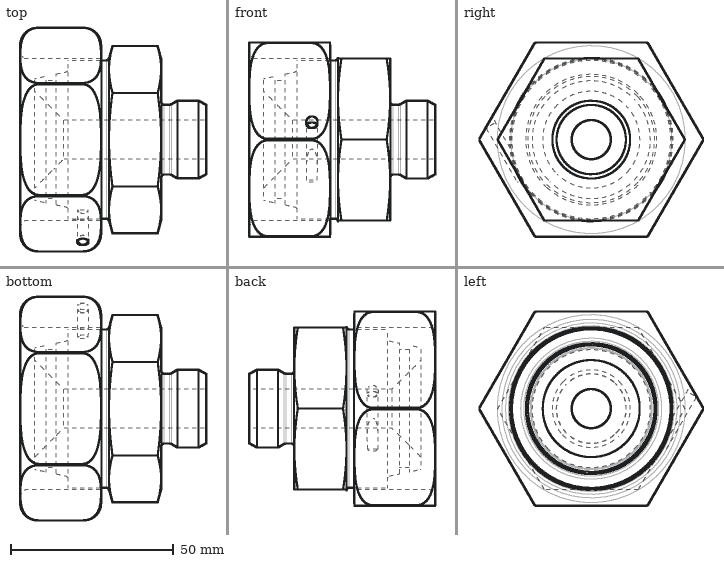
import cadquery as cq
import math


nut_length = 25.05
nut_flats = 60.0
nut_corner_radius = 34.5
nut_edge_round = 5.5
nut_bore_radius = 25.01
lip_radius = 27.5
lip_round = 2.2
throat_round = 1.1
lead_in_angle = math.radians(60)

wire_hole_diameter = 3.3
wire_hole_mouth_diameter = 3.5
wire_hole_mouth_depth = 1.1
wire_hole_x = 19.4
wire_hole_height = 5.4
wire_hole_slope = 60.0

cone_face_x = 4.5
cone_face_radius = 18.8
cone_angle = math.radians(12)
cone_edge_round = 0.35
mouth_radius = 15.0
bore_radius = 6.0
groove_start = 8.0
groove_end = 11.1
groove_depth = 1.3
shoulder_x = 14.85
shoulder_round = 1.0
collar_radius = 24.46

hex_start = 27.4
hex_end = 43.55
hex_flats = 50.0
hex_chamfer_radius = 24.85
hex_chamfer_depth = 1.1
collar_round = 0.75

stud_end = 57.5
stud_radius = 12.0
stud_chamfer_length = 2.4
stud_tip_radius = 10.7
neck_radius = 10.8
neck_start_round = 0.9
neck_end_round = 1.3
relief_angle = math.radians(30)
stud_shoulder_x = 48.5


def hex_bar(flats, start, end):
    """Hexagonal bar along X with two flats parallel to the XY plane."""
    corner_diameter = flats / math.cos(math.pi / 6)
    return cq.Workplane("YZ", origin=(start, 0, 0)).polygon(6, corner_diameter).extrude(end - start)


def revolve_about_x(profile):
    """Turn a closed profile drawn as (x, radius) about the X axis."""
    return profile.close().revolve(360, (0, 0, 0), (1, 0, 0))


def make_nut():
    face_radius = nut_corner_radius - nut_edge_round
    diagonal = nut_edge_round * math.sqrt(0.5)
    arc_mid_radius = face_radius + diagonal
    arc_mid_x = nut_edge_round - diagonal
    envelope = revolve_about_x(
        cq.Workplane("XY")
        .moveTo(0, 0)
        .lineTo(0, face_radius)
        .threePointArc((arc_mid_x, arc_mid_radius), (nut_edge_round, nut_corner_radius))
        .lineTo(nut_length - nut_edge_round, nut_corner_radius)
        .threePointArc((nut_length - arc_mid_x, arc_mid_radius), (nut_length, face_radius))
        .lineTo(nut_length, 0)
    )
    nut = hex_bar(nut_flats, 0, nut_length).intersect(envelope)

    lip_turn = math.pi / 2 - lead_in_angle
    cone_start_x = lip_round * (1 - math.cos(lip_turn))
    cone_start_radius = lip_radius - lip_round * math.sin(lip_turn)
    lip_mid = (
        lip_round * (1 - math.cos(lip_turn / 2)),
        lip_radius - lip_round * math.sin(lip_turn / 2),
    )
    cone_end_radius = nut_bore_radius + throat_round * (1 - math.cos(lead_in_angle))
    cone_end_x = cone_start_x + (cone_start_radius - cone_end_radius) / math.tan(lead_in_angle)
    bore_start_x = cone_end_x + throat_round * math.sin(lead_in_angle)
    throat_mid = (
        bore_start_x - throat_round * math.sin(lead_in_angle / 2),
        nut_bore_radius + throat_round * (1 - math.cos(lead_in_angle / 2)),
    )
    bore = revolve_about_x(
        cq.Workplane("XY")
        .moveTo(0, 0)
        .lineTo(0, lip_radius)
        .threePointArc(lip_mid, (cone_start_x, cone_start_radius))
        .lineTo(cone_end_x, cone_end_radius)
        .threePointArc(throat_mid, (bore_start_x, nut_bore_radius))
        .lineTo(nut_length, nut_bore_radius)
        .lineTo(nut_length, 0)
    )
    return nut.cut(bore).cut(wire_hole())


def wire_hole():
    """Slanted stepped hole from the flat facing -Y and +Z to its closest point to the nut axis."""
    entry_y = -(nut_flats / 2 - wire_hole_height * math.sin(math.pi / 6)) / math.cos(math.pi / 6)
    slope = math.radians(wire_hole_slope)
    direction = cq.Vector(0, math.cos(slope), -math.sin(slope))
    entry = cq.Vector(wire_hole_x, entry_y, wire_hole_height)
    depth = -(entry.y * direction.y + entry.z * direction.z)
    run_out = 2 * wire_hole_diameter
    mouth = cq.Solid.makeCylinder(
        wire_hole_mouth_diameter / 2,
        wire_hole_mouth_depth + run_out,
        entry - direction * run_out,
        direction,
    )
    shank = cq.Solid.makeCylinder(wire_hole_diameter / 2, depth, entry, direction)
    return mouth.fuse(shank)


def cone_radius(x):
    return cone_face_radius + (x - cone_face_x) * math.tan(cone_angle)


def make_sealing_end():
    blank = revolve_about_x(
        cq.Workplane("XY")
        .moveTo(cone_face_x, 0)
        .lineTo(cone_face_x, cone_face_radius)
        .lineTo(shoulder_x, cone_radius(shoulder_x))
        .lineTo(shoulder_x, collar_radius)
        .lineTo(hex_start, collar_radius)
        .lineTo(hex_start, 0)
    )
    cone_foot = cq.selectors.RadiusNthSelector(1)
    blank = blank.edges(cone_foot).fillet(shoulder_round)
    blank = blank.edges("<X").fillet(cone_edge_round)
    groove_floor = cone_radius(groove_start) - groove_depth
    groove = revolve_about_x(
        cq.Workplane("XY")
        .moveTo(groove_start, groove_floor)
        .lineTo(groove_start, collar_radius)
        .lineTo(groove_end, collar_radius)
        .lineTo(groove_end, groove_floor)
    )
    return blank.cut(groove)


def make_hexagon():
    corner_radius = hex_flats / 2 / math.cos(math.pi / 6)
    envelope = revolve_about_x(
        cq.Workplane("XY")
        .moveTo(hex_start, 0)
        .lineTo(hex_start, hex_chamfer_radius)
        .lineTo(hex_start + hex_chamfer_depth, corner_radius)
        .lineTo(hex_end - hex_chamfer_depth, corner_radius)
        .lineTo(hex_end, hex_chamfer_radius)
        .lineTo(hex_end, 0)
    )
    return hex_bar(hex_flats, hex_start, hex_end).intersect(envelope)


def concave_round(x, radius, size, toward):
    """Ring that fills the corner between a cylinder about X and a face on its +X or -X side."""
    tip_x = x + toward * size
    reach = size * (1 - math.sqrt(0.5))
    return revolve_about_x(
        cq.Workplane("XY")
        .moveTo(x, radius - size)
        .lineTo(x, radius + size)
        .threePointArc((x + toward * reach, radius + reach), (tip_x, radius))
        .lineTo(tip_x, radius - size)
    )


def make_stud():
    round_rise = neck_end_round * (1 - math.cos(relief_angle))
    round_mid_rise = neck_end_round * (1 - math.cos(relief_angle / 2))
    cone_start_radius = neck_radius + round_rise
    cone_start_x = stud_shoulder_x - (stud_radius - cone_start_radius) / math.tan(relief_angle)
    neck_end = cone_start_x - neck_end_round * math.sin(relief_angle)
    round_mid_x = neck_end + neck_end_round * math.sin(relief_angle / 2)
    return revolve_about_x(
        cq.Workplane("XY")
        .moveTo(hex_end, 0)
        .lineTo(hex_end, neck_radius)
        .lineTo(neck_end, neck_radius)
        .threePointArc((round_mid_x, neck_radius + round_mid_rise), (cone_start_x, cone_start_radius))
        .lineTo(stud_shoulder_x, stud_radius)
        .lineTo(stud_end - stud_chamfer_length, stud_radius)
        .lineTo(stud_end, stud_tip_radius)
        .lineTo(stud_end, 0)
    )


def make_bore():
    cone_depth = mouth_radius - bore_radius
    return revolve_about_x(
        cq.Workplane("XY")
        .moveTo(cone_face_x, 0)
        .lineTo(cone_face_x, mouth_radius)
        .lineTo(cone_face_x + cone_depth, bore_radius)
        .lineTo(stud_end, bore_radius)
        .lineTo(stud_end, 0)
    )


def make_body():
    body = make_sealing_end().union(make_hexagon()).union(make_stud())
    body = body.union(concave_round(hex_start, collar_radius, collar_round, -1))
    body = body.union(concave_round(hex_end, neck_radius, neck_start_round, 1))
    return body.cut(make_bore())


nut = make_nut()
body = make_body()

result = cq.Compound.makeCompound([nut.val(), body.val()])